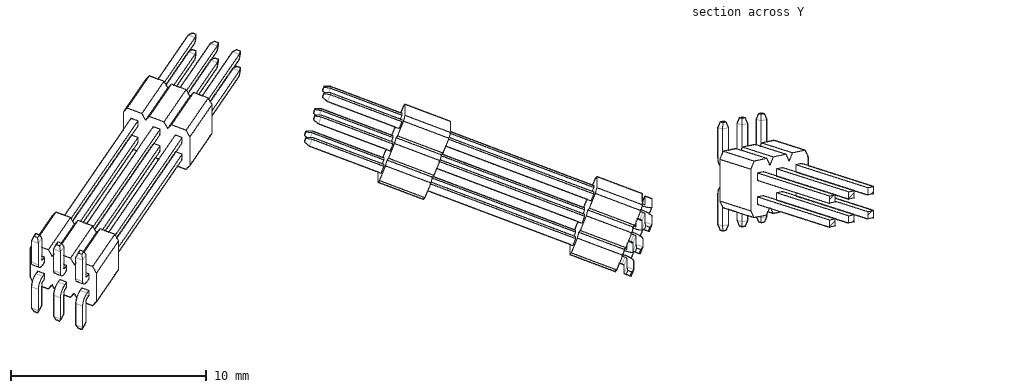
import cadquery as cq

total_width = 3.8
total_length = 17.95
total_height = 5.75

columns = 3
pitch = total_width / columns
row_height = pitch / 2

pin_size = 0.4
tip_length = 0.3
tip_size = 0.22
bend_inner_radius = 0.1
bend_outer_radius = bend_inner_radius + pin_size

block_height = 3.0
block_length = 2.5
notch_depth = 0.4
notch_half_width = 0.22
front_block_start = 0.7
rear_block_start = 11.22


def block(start):
    """Insulator with bevelled corners and V notches between columns, running in +Y from start."""
    half_width = total_width / 2
    half_height = block_height / 2
    top_edge = []
    for column in range(columns):
        left = -half_width + column * pitch
        right = left + pitch
        top_edge += [
            (left, half_height - notch_depth),
            (left + notch_half_width, half_height),
            (right - notch_half_width, half_height),
        ]
    top_edge.append((half_width, half_height - notch_depth))
    bottom_edge = [(x, -z) for x, z in reversed(top_edge)]
    return (
        cq.Workplane("XZ", origin=(0, start, 0))
        .polyline(top_edge + bottom_edge)
        .close()
        .extrude(-block_length)
    )


def tip(plane):
    """Blunt square point tapering along the normal of the plane it starts on."""
    return (
        cq.Workplane(plane)
        .rect(pin_size, pin_size)
        .workplane(offset=tip_length)
        .rect(tip_size, tip_size)
        .loft(ruled=True)
    )


def upper_pin(x):
    """Pin along Y whose front end bends upward into a solder leg with its outer face at Y = 0."""
    shank_end = total_length - tip_length
    leg_end = total_height / 2 - tip_length
    bottom = row_height - pin_size / 2
    bar = (
        cq.Workplane("YZ", origin=(x, 0, 0))
        .moveTo(0, bottom)
        .lineTo(shank_end, bottom)
        .lineTo(shank_end, bottom + pin_size)
        .lineTo(pin_size, bottom + pin_size)
        .lineTo(pin_size, leg_end)
        .lineTo(0, leg_end)
        .close()
        .extrude(pin_size / 2, both=True)
    )
    outer_corner = cq.selectors.NearestToPointSelector((x, 0, bottom))
    inner_corner = cq.selectors.NearestToPointSelector((x, pin_size, bottom + pin_size))
    bar = bar.edges(outer_corner).fillet(bend_outer_radius)
    bar = bar.edges(inner_corner).fillet(bend_inner_radius)

    rear_tip = tip(cq.Plane(origin=(x, shank_end, row_height), xDir=(1, 0, 0), normal=(0, 1, 0)))
    leg_tip = tip(cq.Plane(origin=(x, pin_size / 2, leg_end), xDir=(1, 0, 0), normal=(0, 0, 1)))
    return bar.union(rear_tip).union(leg_tip)


result = block(front_block_start).union(block(rear_block_start))
for column in range(columns):
    column_x = (column - (columns - 1) / 2) * pitch
    pin = upper_pin(column_x)
    result = result.union(pin).union(pin.mirror("XY"))